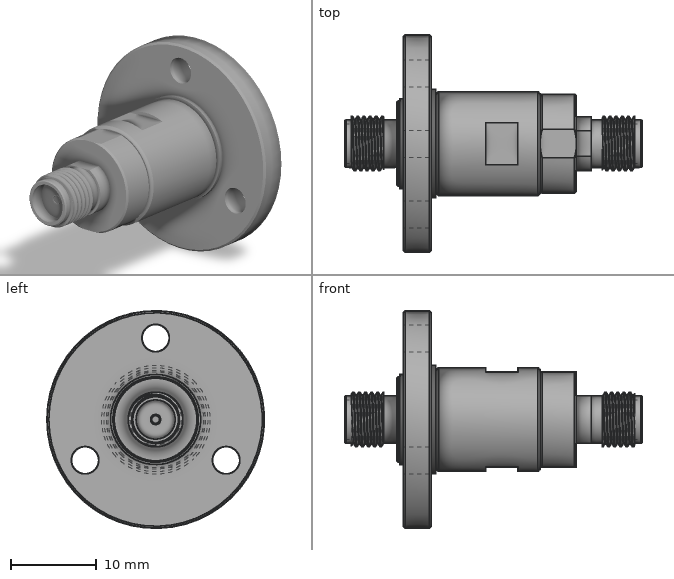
import cadquery as cq
import math

length = 34.7
post_end = 6.07
flange_start = 6.8
flange_end = 10.1
collar_end = 10.62
body_end = 22.83
nut_end = 27.0
neck_end = 28.75

post_diameter = 5.6
hub_diameter = 10.5
hub_step_diameter = 10.0
flange_diameter = 25.4
collar_diameter = 12.7
body_diameter = 12.15
nut_diameter = 11.6
neck_diameter = 6.3

post_chamfer = 0.15
hub_step_length = 0.35
hub_step_chamfer = 0.17
flange_chamfer = 0.25
body_chamfer = 0.3
nut_chamfer = 0.2

hole_count = 3
hole_diameter = 3.15
hole_circle_radius = 9.5

wrench_width = 11.1
body_flat_start = 16.45
body_flat_end = 20.2
neck_flat_width = post_diameter

socket_diameter = 4.58
socket_depth = 1.75
contact_diameter = 1.18
contact_bore = 0.9
contact_height = 0.1

thread_major_diameter = 6.4
thread_length = 3.78
thread_turns = 5.3
thread_pitch = thread_length / thread_turns
thread_root_width = 0.65
thread_crest_width = 0.1
thread_root_overlap = 0.05

left_thread_start = 0.75
left_thread_lead_in = 0.15
right_thread_start = 30.05
right_thread_lead_in = 0.7


def cylinder(start, end, diameter):
    """Cylinder on the X axis between two stations."""
    return cq.Workplane("YZ", origin=(start, 0, 0)).circle(diameter / 2).extrude(end - start)


def turned_body():
    """Stack of coaxial cylinders with their edge breaks."""
    hub_step_end = post_end + hub_step_length
    sections = [
        cylinder(0, length, post_diameter).faces("<X or >X").chamfer(post_chamfer),
        cylinder(post_end, flange_start, hub_step_diameter).faces("<X").chamfer(hub_step_chamfer),
        cylinder(hub_step_end, flange_start, hub_diameter),
        cylinder(flange_start, flange_end, flange_diameter).faces("<X or >X").chamfer(flange_chamfer),
        cylinder(flange_end, collar_end, collar_diameter),
        cylinder(collar_end, body_end, body_diameter).faces("<X or >X").chamfer(body_chamfer),
        with_flats(
            cylinder(body_end, nut_end, nut_diameter).faces("<X or >X").chamfer(nut_chamfer),
            body_end, nut_end, wrench_width,
        ),
        with_flats(cylinder(nut_end, neck_end, neck_diameter), nut_end, neck_end, neck_flat_width),
    ]
    body = sections[0]
    for section in sections[1:]:
        body = body.union(section)
    return with_flats(body, body_flat_start, body_flat_end, wrench_width)


def with_flats(solid, start, end, width):
    """Cut two flats, facing +Z and -Z, between two stations."""
    for side in (1, -1):
        cutter = (
            cq.Workplane("XY", origin=((start + end) / 2, 0, side * width / 2))
            .rect(end - start, flange_diameter)
            .extrude(side * flange_diameter)
        )
        solid = solid.cut(cutter)
    return solid


def mounting_holes():
    """Through holes in the flange, the first one straight above the axis."""
    return (
        cq.Workplane("YZ", origin=(flange_start, 0, 0))
        .polarArray(hole_circle_radius, 90, 360, hole_count)
        .circle(hole_diameter / 2)
        .extrude(flange_end - flange_start)
    )


def socket(mouth, floor):
    """Blind bore with a short tubular contact standing on its floor."""
    direction = math.copysign(1, mouth - floor)
    contact_tip = floor + direction * contact_height
    contact = cylinder(floor, contact_tip, contact_diameter).cut(
        cylinder(floor, contact_tip, contact_bore)
    )
    return cylinder(floor, mouth, socket_diameter).cut(contact)


def thread_ridge(start, lead_in):
    """Right-hand helical ridge whose root is sunk slightly into the post, trimmed square at both ends."""
    root_radius = post_diameter / 2 - thread_root_overlap
    crest_radius = thread_major_diameter / 2
    helix_length = lead_in + thread_length + thread_pitch
    helix = cq.Wire.makeHelix(thread_pitch, helix_length, root_radius)
    profile = (
        cq.Workplane("XZ")
        .moveTo(root_radius, -thread_root_width / 2)
        .lineTo(crest_radius, -thread_crest_width / 2)
        .lineTo(crest_radius, thread_crest_width / 2)
        .lineTo(root_radius, thread_root_width / 2)
        .close()
    )
    ridge = profile.sweep(cq.Workplane(obj=helix), isFrenet=True)
    ridge = ridge.rotate((0, 0, 0), (0, 1, 0), 90).translate((start - lead_in, 0, 0))
    return ridge.intersect(cylinder(start, start + thread_length, nut_diameter))


result = turned_body().cut(mounting_holes())
result = result.cut(socket(0, socket_depth))
result = result.cut(socket(length, length - socket_depth))
result = result.union(thread_ridge(left_thread_start, left_thread_lead_in))
result = result.union(thread_ridge(right_thread_start, right_thread_lead_in))